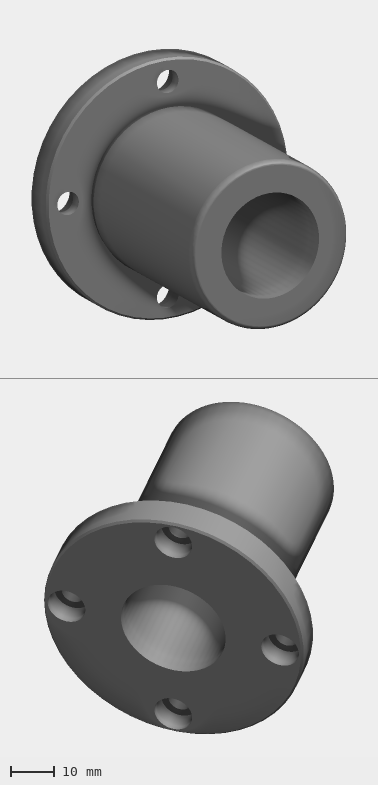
import cadquery as cq

length = 59.0
body_diameter = 40.0
bore_diameter = 25.0

end_round_length = 1.65
end_round_drop = 1.0

flange_diameter = 62.0
flange_thickness = 8.0
flange_chamfer = 0.5

relief_diameter = 39.0
relief_width = 2.0

sleeve_diameter = 35.3

hole_count = 4
bolt_circle_diameter = 51.0
hole_diameter = 5.5
counterbore_diameter = 9.0
counterbore_depth = 5.1


def outer_shell():
    """Flange, relief and body as one revolved half profile around X."""
    sleeve_radius = sleeve_diameter / 2
    flange_radius = flange_diameter / 2
    body_radius = body_diameter / 2
    relief_radius = relief_diameter / 2
    flare_rise = body_radius - relief_radius
    return (
        cq.Workplane("XY")
        .moveTo(0, sleeve_radius)
        .lineTo(0, flange_radius - flange_chamfer)
        .lineTo(flange_chamfer, flange_radius)
        .lineTo(flange_thickness - flange_chamfer, flange_radius)
        .lineTo(flange_thickness, flange_radius - flange_chamfer)
        .lineTo(flange_thickness, relief_radius)
        .ellipseArc(relief_width, flare_rise, 270, 360, sense=1)
        .lineTo(length - end_round_length, body_radius)
        .ellipseArc(end_round_length, end_round_drop, 0, 90, sense=-1)
        .lineTo(length, sleeve_radius)
        .close()
        .revolve(360, (0, 0, 0), (1, 0, 0))
    )


def mounting_holes():
    """Through holes with counterbores opening on the flange face."""
    circle_radius = bolt_circle_diameter / 2
    centres = cq.Workplane("YZ").polarArray(circle_radius, 0, 360, hole_count)
    holes = centres.circle(hole_diameter / 2).extrude(flange_thickness)
    counterbores = centres.circle(counterbore_diameter / 2).extrude(counterbore_depth)
    return holes.union(counterbores)


def inner_sleeve():
    """Plain tube along X that carries the bore."""
    outer = cq.Workplane("YZ").circle(sleeve_diameter / 2)
    return outer.circle(bore_diameter / 2).extrude(length)


result = outer_shell().cut(mounting_holes()).union(inner_sleeve(), clean=False)